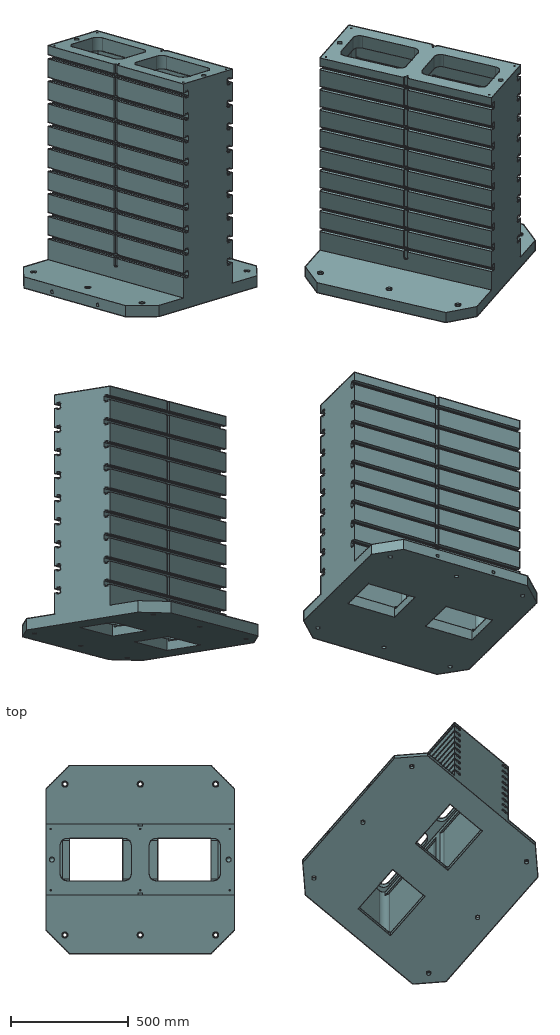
import cadquery as cq
import math

base_size = 800.0
base_thickness = 50.0
base_corner_chamfer = 100.0

total_height = 1000.0
column_depth = 300.0

slot_count = 9
slot_pitch = 100.0
top_slot_z = total_height - slot_pitch / 2
slot_neck_width = 18.0
slot_total_depth = 32.0
slot_head_width = 30.0
slot_head_start = 15.0
slot_head_depth = 14.0

groove_width = 18.0
groove_depth = 8.0
groove_bottom_z = 102.0

cell_outer_x = 340.0
cell_inner_x = 38.0
cell_half_depth = 90.0
cell_corner_radius = 30.0
rim_thickness = 60.0
rim_bottom_z = total_height - rim_thickness
cell_floor_z = base_thickness

chamber_undercut = 15.0
chamber_half_depth = cell_half_depth + chamber_undercut
chamber_outer_x = cell_outer_x + chamber_undercut
chamber_inner_x = 2.0

ledge_height = 58.0
ledge_bottom_z = rim_bottom_z - ledge_height
passage_half_depth = 98.0

recess_half_length = 330.0
recess_half_depth = 82.0
recess_floor_z = cell_floor_z - 10.0

floor_opening_inner_x = 75.0
floor_opening_outer_x = 300.0

mount_pitch = 320.0
mount_hole_diameter = 18.0
mount_rim_diameter = 26.0

lift_hole_x = 375.0
lift_hole_diameter = 21.0
lift_hole_depth = 50.0

drill_tip_angle = 118.0

pin_hole_x = 380.0
pin_hole_y = 130.0
pin_hole_diameter = 5.0
pin_hole_depth = 15.0

edge_hole_x = 135.0
edge_hole_z = 18.0
edge_hole_diameter = 14.0
edge_hole_depth = 40.0


def box_between(x_range, y_range, z_range):
    """Box spanning the given (low, high) limits along each axis."""
    size = [high - low for low, high in (x_range, y_range, z_range)]
    corner = (x_range[0], y_range[0], z_range[0])
    return cq.Workplane("XY").box(*size, centered=False).translate(corner)


def centred_box(half_x, half_y, z_range):
    """Box centred on the Z axis."""
    return box_between((-half_x, half_x), (-half_y, half_y), z_range)


def with_mirror(shape, plane):
    """The shape together with its mirror image."""
    return shape.union(shape.mirror(plane))


def make_body():
    base = centred_box(base_size / 2, base_size / 2, (0, base_thickness))
    base = base.edges("|Z").chamfer(base_corner_chamfer)
    column = centred_box(base_size / 2, column_depth / 2, (0, total_height))
    return base.union(column)


def make_front_slots():
    """T-slots along X in the front face: a deep neck crossed by a wider head."""
    face_y = -column_depth / 2
    head_y = face_y + slot_head_start
    along_x = (-base_size / 2, base_size / 2)
    slots = cq.Workplane("XY")
    for index in range(slot_count):
        z = top_slot_z - index * slot_pitch
        neck_z = (z - slot_neck_width / 2, z + slot_neck_width / 2)
        head_z = (z - slot_head_width / 2, z + slot_head_width / 2)
        neck = box_between(along_x, (face_y, face_y + slot_total_depth), neck_z)
        head = box_between(along_x, (head_y, head_y + slot_head_depth), head_z)
        slots = slots.add(neck.union(head))
    return slots.combine()


def make_front_groove():
    """Vertical groove with a round lower end, open at the top."""
    radius = groove_width / 2
    end_z = groove_bottom_z + radius
    return (
        cq.Workplane("XZ", origin=(0, -column_depth / 2 + groove_depth, 0))
        .moveTo(-radius, total_height)
        .lineTo(-radius, end_z)
        .threePointArc((0, groove_bottom_z), (radius, end_z))
        .lineTo(radius, total_height)
        .close()
        .extrude(groove_depth)
    )


def make_right_cell():
    """One hollow cell: a shaft through the rim, a wider chamber and a floor opening."""
    across_shaft = (-cell_half_depth, cell_half_depth)
    shaft = box_between((cell_inner_x, cell_outer_x), across_shaft, (cell_floor_z, total_height))
    shaft = shaft.edges("|Z").fillet(cell_corner_radius)
    chamber = box_between(
        (chamber_inner_x, chamber_outer_x),
        (-chamber_half_depth, chamber_half_depth),
        (cell_floor_z, rim_bottom_z),
    )
    chamber = chamber.edges("|Z").fillet(cell_corner_radius)
    ledge = box_between(
        (chamber_inner_x, chamber_outer_x),
        (passage_half_depth, chamber_half_depth),
        (ledge_bottom_z, rim_bottom_z),
    )
    chamber = chamber.cut(with_mirror(ledge, "XZ"))
    floor_opening = box_between(
        (floor_opening_inner_x, floor_opening_outer_x), across_shaft, (0, cell_floor_z)
    )
    return shaft.union(chamber).union(floor_opening)


def make_passage():
    """Opening through the divider between the chambers, and the recess in the floors."""
    passage = centred_box(cell_inner_x, passage_half_depth, (cell_floor_z, rim_bottom_z))
    recess = centred_box(recess_half_length, recess_half_depth, (recess_floor_z, cell_floor_z))
    return passage.union(recess)


def drill_mounting_holes(body):
    """Six through holes in the base plate with a 45 degree countersunk rim."""
    points = [(x, y) for x in (-mount_pitch, 0, mount_pitch) for y in (-mount_pitch, mount_pitch)]
    return (
        cq.Workplane(body.val())
        .copyWorkplane(cq.Workplane("XY", origin=(0, 0, base_thickness)))
        .pushPoints(points)
        .cskHole(mount_hole_diameter, mount_rim_diameter, 90, base_thickness)
    )


def blind_hole(diameter, depth):
    """Drilled hole going down from the origin, with a conical end."""
    radius = diameter / 2
    tip = radius / math.tan(math.radians(drill_tip_angle / 2))
    return (
        cq.Workplane("XZ")
        .lineTo(radius, 0)
        .lineTo(radius, -depth)
        .lineTo(0, -depth - tip)
        .close()
        .revolve(360, (0, 0, 0), (0, 1, 0))
    )


def make_lift_holes():
    """Two vertical holes at the ends of the column top."""
    hole = blind_hole(lift_hole_diameter, lift_hole_depth)
    return with_mirror(hole.translate((lift_hole_x, 0, total_height)), "YZ")


def make_edge_holes():
    """Two horizontal holes in the front edge of the base plate."""
    hole = blind_hole(edge_hole_diameter, edge_hole_depth).rotate((0, 0, 0), (1, 0, 0), 90)
    return with_mirror(hole.translate((edge_hole_x, -base_size / 2, edge_hole_z)), "YZ")


def make_pin_holes():
    """Six small flat-bottomed holes in the column top."""
    points = [(x, y) for x in (-pin_hole_x, 0, pin_hole_x) for y in (-pin_hole_y, pin_hole_y)]
    top = cq.Workplane("XY", origin=(0, 0, total_height))
    return top.pushPoints(points).circle(pin_hole_diameter / 2).extrude(-pin_hole_depth)


result = make_body()
result = result.cut(with_mirror(make_front_slots(), "XZ"))
result = result.cut(with_mirror(make_front_groove(), "XZ"))
result = result.cut(with_mirror(make_right_cell(), "YZ"))
result = result.cut(make_passage())
result = drill_mounting_holes(result)
result = result.cut(make_lift_holes())
result = result.cut(make_pin_holes())
result = result.cut(make_edge_holes())